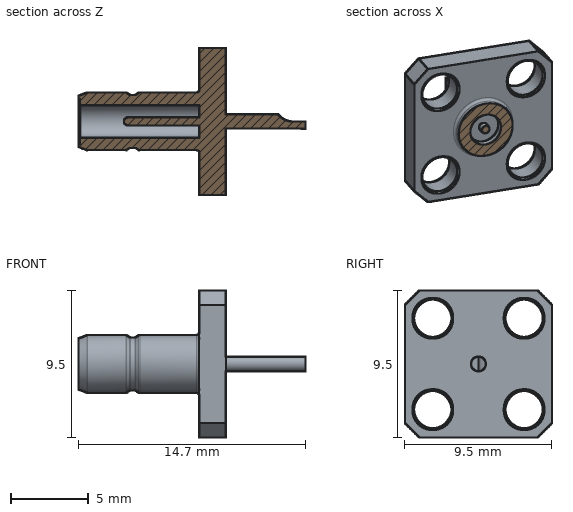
import cadquery as cq

TOTAL_LENGTH = 14.65
FLANGE_FRONT = 7.8
FLANGE_THICKNESS = 1.71
FLANGE_BACK = FLANGE_FRONT + FLANGE_THICKNESS

FLANGE_SIDE = 9.5
CORNER_CHAMFER = 0.94
HOLE_SPACING = 5.89
HOLE_RADIUS = 1.2
HOLE_EDGE_CHAMFER = 0.12

BARREL_RADIUS = 1.88
NOSE_RADIUS = 1.65
NOSE_LENGTH = 0.57
NOSE_EDGE_FILLET = 0.13
ROOT_FILLET = 0.18

GROOVE_START = 3.09
GROOVE_END = 3.91
GROOVE_WALL_RUN = 0.23
GROOVE_RADIUS = 1.71
GROOVE_SHARP_FILLET = 0.07
GROOVE_SOFT_FILLET = 0.16

RECESS_RADIUS = 1.44
RECESS_DEPTH = 0.1
BORE_RADIUS = 1.04
BORE_EDGE_FILLET = 0.09
BORE_END = FLANGE_FRONT

CONTACT_RADIUS = 0.28
CONTACT_TIP_RADIUS = 0.12
CONTACT_START = 2.93
CONTACT_TAPER_LENGTH = 0.22

TAIL_RADIUS = 0.476
TAIL_FLAT_START = 13.85
TAIL_CUT_RADIUS = 1.22


def cylinder(start, end, radius):
    """Solid cylinder on the X axis."""
    return cq.Workplane("YZ").workplane(offset=start).circle(radius).extrude(end - start)


def ring_edge(body, x, radius):
    """Circular edge of the body on the X axis, picked by its place and radius."""
    reach = 0.007
    box = cq.selectors.BoxSelector(
        (x - reach, -radius - reach, -radius - reach),
        (x + reach, radius + reach, radius + reach),
        boundingbox=True,
    )
    inner_box = cq.selectors.BoxSelector(
        (x - reach, -radius + reach, -radius + reach),
        (x + reach, radius - reach, radius - reach),
        boundingbox=True,
    )
    return body.edges(box - inner_box).edges("%CIRCLE")


def make_flange():
    flange = (
        cq.Workplane("YZ")
        .workplane(offset=FLANGE_FRONT)
        .rect(FLANGE_SIDE, FLANGE_SIDE)
        .extrude(FLANGE_THICKNESS)
        .edges("|X")
        .chamfer(CORNER_CHAMFER)
    )
    holes = (
        cq.Workplane("YZ")
        .workplane(offset=FLANGE_FRONT)
        .rect(HOLE_SPACING, HOLE_SPACING, forConstruction=True)
        .vertices()
        .circle(HOLE_RADIUS)
        .extrude(FLANGE_THICKNESS)
    )
    return flange.cut(holes).edges("%CIRCLE").chamfer(HOLE_EDGE_CHAMFER)


def make_barrel():
    groove_floor_start = GROOVE_START + GROOVE_WALL_RUN
    groove_floor_end = GROOVE_END - GROOVE_WALL_RUN
    barrel = (
        cq.Workplane("XY")
        .polyline([
            (0, 0),
            (0, NOSE_RADIUS),
            (NOSE_LENGTH, BARREL_RADIUS),
            (GROOVE_START, BARREL_RADIUS),
            (groove_floor_start, GROOVE_RADIUS),
            (groove_floor_end, GROOVE_RADIUS),
            (GROOVE_END, BARREL_RADIUS),
            (FLANGE_FRONT, BARREL_RADIUS),
            (FLANGE_FRONT, 0),
        ])
        .close()
        .revolve(360, (0, 0, 0), (1, 0, 0))
    )
    rounded_rings = [
        (NOSE_LENGTH, BARREL_RADIUS, NOSE_EDGE_FILLET),
        (GROOVE_START, BARREL_RADIUS, GROOVE_SHARP_FILLET),
        (groove_floor_start, GROOVE_RADIUS, GROOVE_SOFT_FILLET),
        (groove_floor_end, GROOVE_RADIUS, GROOVE_SHARP_FILLET),
        (GROOVE_END, BARREL_RADIUS, GROOVE_SOFT_FILLET),
    ]
    for x, radius, fillet in rounded_rings:
        barrel = ring_edge(barrel, x, radius).fillet(fillet)
    return barrel


def cut_socket(body):
    body = body.cut(cylinder(0, RECESS_DEPTH, RECESS_RADIUS))
    body = body.cut(cylinder(0, BORE_END, BORE_RADIUS))
    return ring_edge(body, RECESS_DEPTH, BORE_RADIUS).fillet(BORE_EDGE_FILLET)


def make_contact():
    return (
        cylinder(CONTACT_START, BORE_END, CONTACT_RADIUS)
        .faces("<X")
        .chamfer(CONTACT_TAPER_LENGTH, CONTACT_RADIUS - CONTACT_TIP_RADIUS)
    )


def make_tail():
    tail = cylinder(FLANGE_BACK, TOTAL_LENGTH, TAIL_RADIUS)
    arc_height = TAIL_CUT_RADIUS
    arc_start = TAIL_FLAT_START - TAIL_CUT_RADIUS
    cutter = (
        cq.Workplane("XY")
        .moveTo(arc_start, arc_height)
        .radiusArc((TAIL_FLAT_START, 0), -TAIL_CUT_RADIUS)
        .lineTo(TOTAL_LENGTH, 0)
        .lineTo(TOTAL_LENGTH, arc_height)
        .close()
        .extrude(TAIL_RADIUS, both=True)
    )
    return tail.cut(cutter)


shell = make_barrel().union(make_flange())
shell = ring_edge(shell, FLANGE_FRONT, BARREL_RADIUS).fillet(ROOT_FILLET)
shell = cut_socket(shell)
result = shell.union(make_contact()).union(make_tail())